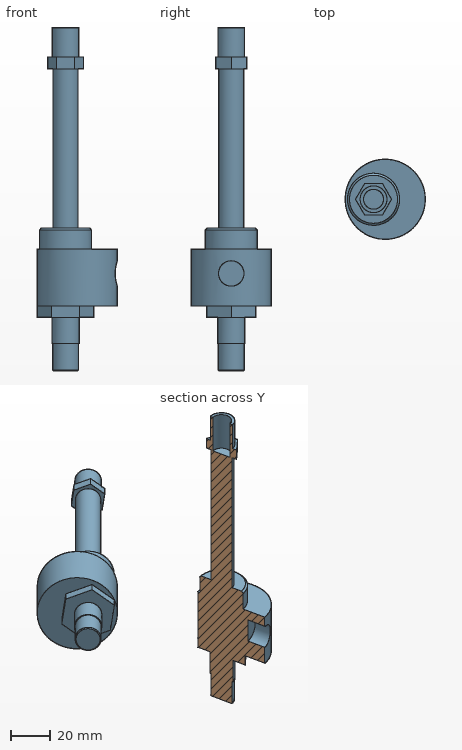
import cadquery as cq

overall_height = 175.0
lower_thread_top = 14.0
lower_nut_bottom = 27.3
body_bottom = 33.0
body_top = 62.1
collar_top = 73.0
upper_nut_bottom = 154.0
upper_nut_top = 160.1

body_diameter = 41.0
collar_diameter = 26.6
stem_diameter = 13.0
upper_thread_diameter = 13.6
lower_thread_diameter = 13.3
lower_neck_diameter = 14.0
lower_nut_across_corners = 28.9
upper_nut_across_corners = 18.4

body_offset = 6.0

collar_chamfer = 1.0
tip_chamfer = 0.5

bore_diameter = 10.2
bore_depth = overall_height - upper_nut_bottom
port_diameter = 13.0
port_rise = 2.1
port_depth = body_diameter / 4


def cylinder(diameter, bottom, top, x=0):
    """Upright cylinder between two heights."""
    return cq.Workplane("XY", origin=(x, 0, bottom)).circle(diameter / 2).extrude(top - bottom)


def hex_nut(across_corners, bottom, top):
    """Hexagonal prism on the stem axis with two corners along X."""
    return cq.Workplane("XY", origin=(0, 0, bottom)).polygon(6, across_corners).extrude(top - bottom)


lower_thread = cylinder(lower_thread_diameter, 0, lower_thread_top).faces("<Z").chamfer(tip_chamfer)
lower_neck = cylinder(lower_neck_diameter, lower_thread_top, lower_nut_bottom)
lower_nut = hex_nut(lower_nut_across_corners, lower_nut_bottom, body_bottom)

body = cylinder(body_diameter, body_bottom, body_top, body_offset)
port_end = body_offset + body_diameter / 2
port_height = (body_bottom + body_top) / 2 + port_rise
port = (
    cq.Workplane("YZ", origin=(port_end - port_depth, 0, port_height))
    .circle(port_diameter / 2)
    .extrude(port_depth)
)
body = body.cut(port)

collar = cylinder(collar_diameter, body_top, collar_top).faces(">Z").chamfer(collar_chamfer)
stem = cylinder(stem_diameter, collar_top, upper_nut_bottom)
upper_nut = hex_nut(upper_nut_across_corners, upper_nut_bottom, upper_nut_top)
upper_thread = cylinder(upper_thread_diameter, upper_nut_top, overall_height)
bore = cylinder(bore_diameter, overall_height - bore_depth, overall_height)

result = lower_thread
for section in (lower_neck, lower_nut, body, collar, stem, upper_nut, upper_thread):
    result = result.union(section)

result = result.cut(bore).translate((-body_offset, 0, 0))